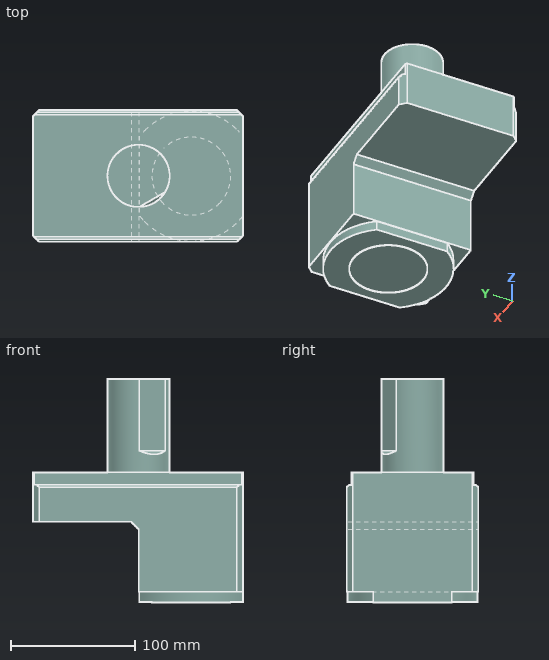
import cadquery as cq
import math

length = 169.0
width = 106.0
left_reach = 85.0
right_reach = length - left_reach
plate_thickness = 40.0
block_depth = 96.0
block_left = 0.0
inner_chamfer = 6.0
corner_chamfer = 5.0

rebate_width = 4.0
rebate_depth = 10.0
rebate_chamfer = 2.0

shaft_diameter = 50.0
shaft_height = 75.0
flat_distance = 22.0
flat_length = 57.6
flat_angle = -60.0

foot_diameter = 105.0
foot_thickness = 8.5
foot_across_flats = 83.7
boss_diameter = 63.0
boss_height = 0.5


def make_body():
    """L-shaped body with chamfered outer vertical corners."""
    profile = [
        (-left_reach, 0),
        (right_reach, 0),
        (right_reach, -block_depth),
        (block_left, -block_depth),
        (block_left, -plate_thickness - inner_chamfer),
        (block_left - inner_chamfer, -plate_thickness),
        (-left_reach, -plate_thickness),
    ]
    body = cq.Workplane("XZ").polyline(profile).close().extrude(width / 2, both=True)
    outer_corners = body.faces("<X or >X").edges("|Z")
    return outer_corners.chamfer(corner_chamfer)


def make_rebate(side):
    """Cutter for one rebate; side is -1 or 1 along Y."""
    outer = side * width / 2
    wall = side * (width / 2 - rebate_width)
    chamfer_start = side * (width / 2 - rebate_chamfer)
    profile = [
        (wall, 0),
        (wall, -rebate_depth),
        (chamfer_start, -rebate_depth),
        (outer, -rebate_depth - rebate_chamfer),
        (outer, 0),
    ]
    return cq.Workplane("YZ").polyline(profile).close().extrude(length, both=True)


def make_shaft():
    """Shaft whose flat runs out to the surface at 45 degrees."""
    radius = shaft_diameter / 2
    flat_end = shaft_height - flat_length
    runout = radius - flat_distance
    shaft = cq.Workplane("XY").circle(radius).extrude(shaft_height)
    profile = [
        (flat_distance, shaft_height),
        (flat_distance, flat_end),
        (radius, flat_end - runout),
        (radius, shaft_height),
    ]
    cutter = cq.Workplane("XZ").polyline(profile).close().extrude(radius, both=True)
    return shaft.cut(cutter.rotate((0, 0, 0), (0, 0, 1), flat_angle))


def make_foot():
    """Flatted disc under the block, flush with the right side, with its boss."""
    center_x = right_reach - foot_across_flats / 2
    half_flat = foot_across_flats / 2
    half_chord = math.sqrt((foot_diameter / 2) ** 2 - half_flat**2)
    foot = (
        cq.Workplane("XY", origin=(center_x, 0, -block_depth))
        .moveTo(-half_flat, -half_chord)
        .threePointArc((0, -foot_diameter / 2), (half_flat, -half_chord))
        .lineTo(half_flat, half_chord)
        .threePointArc((0, foot_diameter / 2), (-half_flat, half_chord))
        .close()
        .extrude(-foot_thickness)
    )
    boss = (
        cq.Workplane("XY", origin=(center_x, 0, -block_depth))
        .circle(boss_diameter / 2)
        .extrude(-foot_thickness - boss_height)
    )
    return foot.union(boss)


body = make_body()
for side in (-1, 1):
    body = body.cut(make_rebate(side))

result = body.union(make_shaft()).union(make_foot())